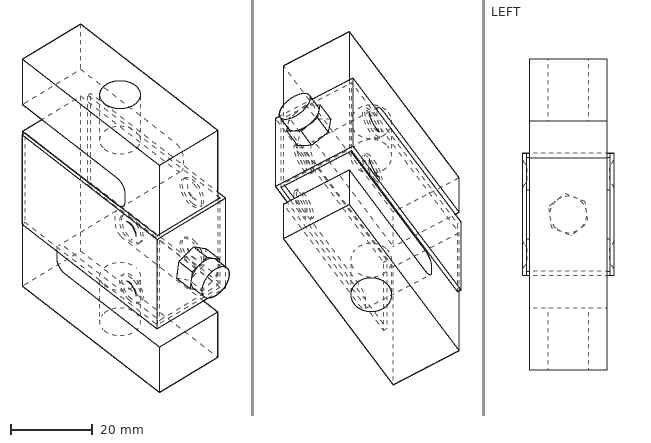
import cadquery as cq
import math

block_length = 50.8
block_width = 19.05
block_height = 76.2
arm_thickness = 15.24
web_thickness = 12.8
slot_height = 9.0
slot_corner_radius = 3.0
load_hole_diameter = 10.0

cover_width = 22.41
cover_length = 50.0
cover_height = 30.0
cover_wall = 1.0

seat_spacing = 20.0
seat_inset = 11.0
pad_diameter = 8.0
dish_ring_diameter = 4.6
dish_floor_diameter = 3.1
dish_depth = 1.15

hex_sides = 6
hex_across_flats = 9.0
hex_length = 5.0
hex_turn = 8.0
collar_diameter = 9.0
collar_length = 4.0

block_middle_x = block_length / 2
block_middle_z = block_height / 2
cover_end_x = block_length + cover_wall
cover_start_x = cover_end_x - cover_length
cover_gap = (cover_width - block_width) / 2 - cover_wall
seat_x = cover_end_x - seat_inset


def make_slot(end_x, open_x, bottom_z):
    """Slot through the full width, rounded at its closed end and open at the other."""
    slot = cq.Workplane("XY").box(
        abs(open_x - end_x), block_width, slot_height, centered=(False, True, False)
    )
    closed_side = "<X" if end_x < open_x else ">X"
    slot = slot.edges(f"|Y and {closed_side}").fillet(slot_corner_radius)
    return slot.translate((min(end_x, open_x), 0, bottom_z))


def make_block():
    block = cq.Workplane("XY").box(
        block_length, block_width, block_height, centered=(False, True, False)
    )
    upper_slot_z = block_height - arm_thickness - slot_height
    block = block.cut(make_slot(block_length - web_thickness, 0, upper_slot_z))
    block = block.cut(make_slot(web_thickness, block_length, arm_thickness))

    for arm_bottom_z in (0, block_height - arm_thickness):
        hole = (
            cq.Workplane("XY", origin=(block_middle_x, 0, arm_bottom_z))
            .circle(load_hole_diameter / 2)
            .extrude(arm_thickness)
        )
        block = block.cut(hole)
    return block


def make_dish():
    """Dish turned about Z, opening upward at Z = 0, its rim and floor joined by two tangent arcs."""
    rim_radius = pad_diameter / 2
    ring_radius = dish_ring_diameter / 2
    floor_radius = dish_floor_diameter / 2
    slope = 2 * math.atan(dish_depth / (rim_radius - floor_radius))
    rim_arc_radius = (rim_radius - ring_radius) / math.sin(slope)
    floor_arc_radius = (ring_radius - floor_radius) / math.sin(slope)
    ring_depth = rim_arc_radius * (1 - math.cos(slope))

    half_sine = math.sin(slope / 2)
    half_drop = 1 - math.cos(slope / 2)
    rim_arc_middle = (
        rim_radius - rim_arc_radius * half_sine,
        -rim_arc_radius * half_drop,
    )
    floor_arc_middle = (
        floor_radius + floor_arc_radius * half_sine,
        floor_arc_radius * half_drop - dish_depth,
    )
    return (
        cq.Workplane("XZ")
        .lineTo(rim_radius, 0)
        .threePointArc(rim_arc_middle, (ring_radius, -ring_depth))
        .threePointArc(floor_arc_middle, (floor_radius, -dish_depth))
        .lineTo(0, -dish_depth)
        .close()
        .revolve(360, (0, 0, 0), (0, 1, 0))
    )


def make_cover():
    cover_bottom_z = block_middle_z - cover_height / 2
    cover = cq.Workplane("XY", origin=(cover_start_x, 0, cover_bottom_z)).box(
        cover_length, cover_width, cover_height, centered=(False, True, False)
    )
    channel = cq.Workplane("XY", origin=(cover_start_x, 0, cover_bottom_z)).box(
        cover_length - cover_wall,
        cover_width - 2 * cover_wall,
        cover_height,
        centered=(False, True, False),
    )
    cover = cover.cut(channel)

    pad = cq.Workplane("XY").circle(pad_diameter / 2).extrude(-cover_wall - cover_gap)
    dish = make_dish()
    for side in (-1, 1):
        outward_turn = -90 * side
        for row in (-1, 1):
            place = (seat_x, side * cover_width / 2, block_middle_z + row * seat_spacing / 2)
            seat_pad = pad.rotate((0, 0, 0), (1, 0, 0), outward_turn).translate(place)
            seat_dish = dish.rotate((0, 0, 0), (1, 0, 0), outward_turn).translate(place)
            cover = cover.union(seat_pad).cut(seat_dish)
    return cover


def make_gland():
    hex_across_corners = hex_across_flats / math.cos(math.pi / hex_sides)
    hexagon = (
        cq.Workplane("YZ")
        .transformed(rotate=(0, 0, 90 - hex_turn))
        .polygon(hex_sides, hex_across_corners)
        .extrude(hex_length)
    )
    collar = (
        cq.Workplane("YZ", origin=(hex_length, 0, 0))
        .circle(collar_diameter / 2)
        .extrude(collar_length)
    )
    return hexagon.union(collar).translate((cover_end_x, 0, block_middle_z))


block = make_block()
cover = make_cover()
gland = make_gland()

result = cq.Compound.makeCompound([block.val(), cover.val(), gland.val()])